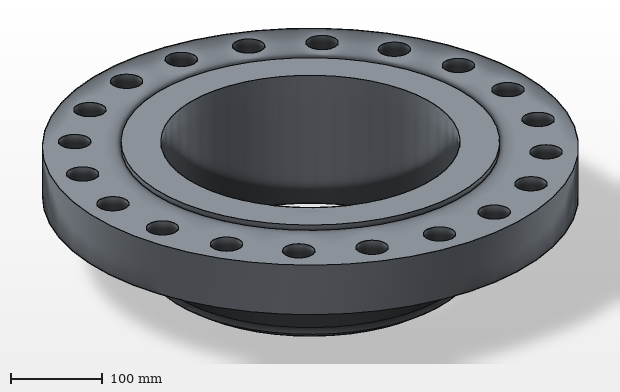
import cadquery as cq

flange_diameter = 584.0
total_height = 155.5
bore_diameter = 326.0

raised_face_diameter = 412.5
raised_face_height = 6.5
flange_thickness = 60.0

hub_base_diameter = 424.0
hub_fillet_radius = 11.5
neck_diameter = 358.0
neck_top = 17.5
bevel_height = 9.5
weld_land_diameter = 329.5

bolt_count = 20
bolt_circle_diameter = 514.0
bolt_hole_diameter = 35.0

selection_margin = 0.5

flange_top = total_height - raised_face_height
flange_bottom = flange_top - flange_thickness


def revolved_body():
    """Revolve the half section of plate, hub and bore around Z."""
    bore_radius = bore_diameter / 2
    section = (
        cq.Workplane("XZ")
        .moveTo(bore_radius, 0)
        .lineTo(weld_land_diameter / 2, 0)
        .lineTo(neck_diameter / 2, bevel_height)
        .lineTo(neck_diameter / 2, neck_top)
        .lineTo(hub_base_diameter / 2, flange_bottom)
        .lineTo(flange_diameter / 2, flange_bottom)
        .lineTo(flange_diameter / 2, flange_top)
        .lineTo(raised_face_diameter / 2, flange_top)
        .lineTo(raised_face_diameter / 2, total_height)
        .lineTo(bore_radius, total_height)
        .close()
    )
    return section.revolve(360, (0, 0, 0), (0, 1, 0))


def fillet_hub_root(body):
    """Round the inner corner where the hub meets the flange."""
    reach = hub_base_diameter / 2 + selection_margin
    root_box = cq.selectors.BoxSelector(
        (-reach, -reach, flange_bottom - selection_margin),
        (reach, reach, flange_bottom + selection_margin),
        boundingbox=True,
    )
    return body.edges(root_box).edges("%CIRCLE").fillet(hub_fillet_radius)


def bolt_holes():
    """Cylinders on the bolt circle, one of them on the +X axis."""
    return (
        cq.Workplane("XY")
        .polarArray(bolt_circle_diameter / 2, 0, 360, bolt_count)
        .circle(bolt_hole_diameter / 2)
        .extrude(total_height)
    )


result = fillet_hub_root(revolved_body()).cut(bolt_holes())